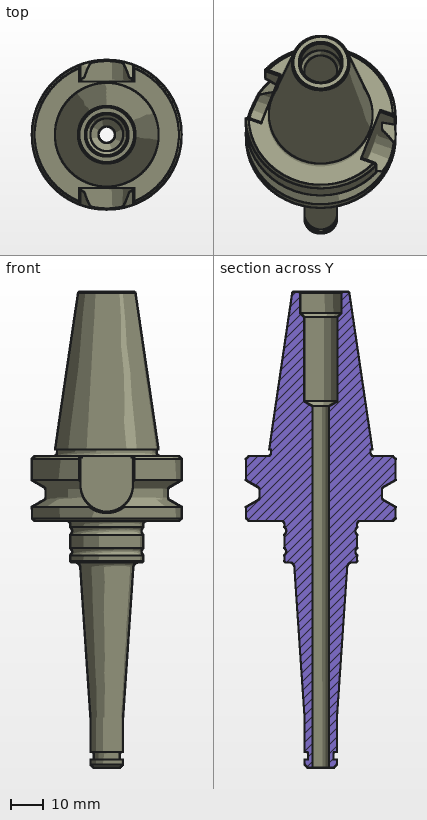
import cadquery as cq
import math

total_height = 145.9

taper_ratio = 7 / 24
gauge_z = 97.5
gauge_r = 15.9
shank_top_r = gauge_r - taper_ratio * (total_height - gauge_z) / 2
shank_top_chamfer = 0.5

flange_r = 46.0 / 2
flange_top_z = 95.5
flange_bottom_z = 75.6
flange_chamfer = 0.9
neck_r = 15.3
neck_fillet = 0.95

groove_r = 18.8
groove_upper_z = 88.1
groove_lower_z = 80.0
groove_flank = math.radians(30)
groove_flank_height = (flange_r - groove_r) * math.tan(groove_flank)
groove_fillet = 0.6

slot_half_width = 8.0
slot_bottom_z = 78.5
slot_floor_y = 16.3
slot_floor_fillet = 0.5
slot_edge_chamfer = 0.5

collar_r = 22.5 / 2
collar_bottom_z = 62.9
collar_chamfer = 0.5
collar_root_fillet = 0.9
ring_groove_depth = 0.6
ring_groove_side_depth = 0.3
ring_groove_spans = [(73.8, 71.3), (67.4, 65.0)]
ring_groove_side = 0.5

stem_top_r = 8.2
stem_top_fillet = 1.5
stem_straight_z = 15.3
tip_r = 10.0 / 2
tip_groove_r = 8.0 / 2
tip_groove_top_z = 4.8
tip_groove_bottom_z = 2.6
tip_groove_fillet = 0.5
tip_chamfer = 1.0

counterbore_r = 12.5 / 2
counterbore_depth = 6.5
counterbore_chamfer = 0.5
bore_r = 10.0 / 2
bore_depth = 33.5
through_r = 5.0 / 2
bore_lead_angle = math.radians(45)
bore_end_angle = math.radians(59)

reach = 0.07


def concave_corner(profile, corner, entry, leave):
    """Continue the profile to entry, then round the inside corner with a quarter circle to leave."""
    radius = math.dist(entry, corner)
    centre = (entry[0] + leave[0] - corner[0], entry[1] + leave[1] - corner[1])
    to_corner = radius / math.sqrt(2)
    mid = (
        centre[0] + math.copysign(to_corner, corner[0] - centre[0]),
        centre[1] + math.copysign(to_corner, corner[1] - centre[1]),
    )
    return profile.lineTo(*entry).threePointArc(mid, leave)


def make_body():
    """Revolve the outer profile, drawn from the shank top down to the tip."""
    profile = (
        cq.Workplane("XZ")
        .moveTo(0, total_height)
        .lineTo(shank_top_r - shank_top_chamfer, total_height)
        .lineTo(shank_top_r, total_height - shank_top_chamfer)
        .lineTo(gauge_r, gauge_z)
        .lineTo(neck_r, gauge_z)
    )
    profile = concave_corner(
        profile,
        (neck_r, flange_top_z),
        (neck_r, flange_top_z + neck_fillet),
        (neck_r + neck_fillet, flange_top_z),
    )
    profile = (
        profile
        .lineTo(flange_r - flange_chamfer, flange_top_z)
        .lineTo(flange_r, flange_top_z - flange_chamfer)
        .lineTo(flange_r, groove_upper_z)
        .lineTo(groove_r, groove_upper_z - groove_flank_height)
        .lineTo(groove_r, groove_lower_z + groove_flank_height)
        .lineTo(flange_r, groove_lower_z)
        .lineTo(flange_r, flange_bottom_z + flange_chamfer)
        .lineTo(flange_r - flange_chamfer, flange_bottom_z)
    )
    profile = concave_corner(
        profile,
        (collar_r, flange_bottom_z),
        (collar_r + collar_root_fillet, flange_bottom_z),
        (collar_r, flange_bottom_z - collar_root_fillet),
    )
    for upper_z, lower_z in ring_groove_spans:
        profile = (
            profile
            .lineTo(collar_r, upper_z)
            .lineTo(collar_r - ring_groove_side_depth, upper_z - ring_groove_side)
            .threePointArc(
                (collar_r - ring_groove_depth, (upper_z + lower_z) / 2),
                (collar_r - ring_groove_side_depth, lower_z + ring_groove_side),
            )
            .lineTo(collar_r, lower_z)
        )
    profile = (
        profile
        .lineTo(collar_r, collar_bottom_z + collar_chamfer)
        .lineTo(collar_r - collar_chamfer, collar_bottom_z)
    )
    profile = concave_corner(
        profile,
        (stem_top_r, collar_bottom_z),
        (stem_top_r + stem_top_fillet, collar_bottom_z),
        (stem_top_r, collar_bottom_z - stem_top_fillet),
    )
    profile = (
        profile
        .lineTo(tip_r, stem_straight_z)
        .lineTo(tip_r, tip_groove_top_z)
    )
    profile = concave_corner(
        profile,
        (tip_groove_r, tip_groove_top_z),
        (tip_groove_r + tip_groove_fillet, tip_groove_top_z),
        (tip_groove_r, tip_groove_top_z - tip_groove_fillet),
    )
    profile = (
        profile
        .lineTo(tip_groove_r, tip_groove_bottom_z)
        .lineTo(tip_r, tip_groove_bottom_z)
        .lineTo(tip_r, tip_chamfer)
        .lineTo(tip_r - tip_chamfer, 0)
        .lineTo(0, 0)
        .close()
    )
    return profile.revolve(360, (0, 0, 0), (0, 1, 0))


def make_bore():
    """Counterbore, cone, bore with a drill point, and the through hole."""
    counterbore_z = total_height - counterbore_depth
    lead_z = counterbore_z - (counterbore_r - bore_r) / math.tan(bore_lead_angle)
    bore_z = total_height - bore_depth
    point_z = bore_z - (bore_r - through_r) / math.tan(bore_end_angle)
    return (
        cq.Workplane("XZ")
        .moveTo(0, total_height)
        .lineTo(counterbore_r + counterbore_chamfer, total_height)
        .lineTo(counterbore_r, total_height - counterbore_chamfer)
        .lineTo(counterbore_r, counterbore_z)
        .lineTo(bore_r, lead_z)
        .lineTo(bore_r, bore_z)
        .lineTo(through_r, point_z)
        .lineTo(through_r, 0)
        .lineTo(0, 0)
        .close()
        .revolve(360, (0, 0, 0), (0, 1, 0))
    )


def round_gripper_groove(body):
    """Fillet the two circles at the root of the V-groove."""
    root = cq.selectors.BoxSelector(
        (-groove_r - reach, -groove_r - reach, groove_lower_z + reach),
        (groove_r + reach, groove_r + reach, groove_upper_z - reach),
        boundingbox=True,
    )
    return body.edges(root).fillet(groove_fillet)


def make_slot():
    """Cutter for the slot on the -Y side: U-shaped, open at the top, with a rounded floor edge."""
    arc_centre_z = slot_bottom_z + slot_half_width
    slot = (
        cq.Workplane("XZ", origin=(0, -slot_floor_y, 0))
        .moveTo(-slot_half_width, flange_top_z)
        .lineTo(-slot_half_width, arc_centre_z)
        .threePointArc((0, slot_bottom_z), (slot_half_width, arc_centre_z))
        .lineTo(slot_half_width, flange_top_z)
        .close()
        .extrude(flange_r - slot_floor_y)
    )
    floor_edge = cq.selectors.BoxSelector(
        (-flange_r, -slot_floor_y - reach, 0),
        (flange_r, -slot_floor_y + reach, flange_top_z - reach),
    )
    return slot.edges(floor_edge).fillet(slot_floor_fillet)


def chamfer_rim_edges(body, side):
    """Chamfer the edges where the slot on one side meets the rim of the flange."""
    wall_y = math.sqrt(flange_r**2 - slot_half_width**2)
    chamfered_top_y = math.sqrt((flange_r - flange_chamfer) ** 2 - slot_half_width**2)
    near_y, far_y = sorted((side * (chamfered_top_y - reach), side * (flange_r + reach)))
    wall_edges = cq.selectors.BoxSelector(
        (-slot_half_width - reach, near_y, groove_upper_z - reach),
        (slot_half_width + reach, far_y, flange_top_z + reach),
        boundingbox=True,
    )
    near_y, far_y = sorted((side * (wall_y - reach), side * (flange_r + reach)))
    round_edge = cq.selectors.BoxSelector(
        (-slot_half_width, near_y, slot_bottom_z - reach),
        (slot_half_width, far_y, groove_lower_z + reach),
        boundingbox=True,
    )
    body = body.edges(wall_edges).chamfer(slot_edge_chamfer)
    return body.edges(round_edge).chamfer(slot_edge_chamfer)


def make_top_bevel():
    """Cutter that bevels the slot walls where they meet the flange top, on the -Y side."""
    return (
        cq.Workplane("XZ", origin=(0, -slot_floor_y, 0))
        .moveTo(-slot_half_width, flange_top_z - slot_edge_chamfer)
        .lineTo(-slot_half_width - slot_edge_chamfer, flange_top_z)
        .lineTo(slot_half_width + slot_edge_chamfer, flange_top_z)
        .lineTo(slot_half_width, flange_top_z - slot_edge_chamfer)
        .close()
        .extrude(flange_r - slot_floor_y)
    )


slot = make_slot()
top_bevel = make_top_bevel()
result = round_gripper_groove(make_body()).cut(make_bore()).cut(slot).cut(slot.mirror("XZ"))
for side in (-1, 1):
    result = chamfer_rim_edges(result, side)
result = result.cut(top_bevel).cut(top_bevel.mirror("XZ"))